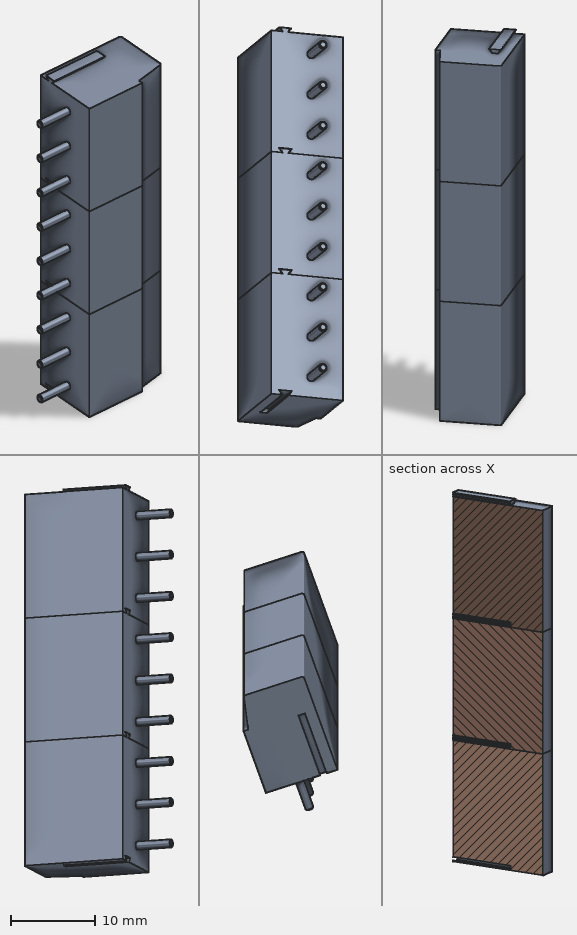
import cadquery as cq

BLOCK_COUNT = 3
PINS_PER_BLOCK = 3
OVERALL_HEIGHT = 45.5

TONGUE_HEIGHT = 0.5
TONGUE_LENGTH = 7.9
TONGUE_CENTER_X = 1.77
TONGUE_TIP_WIDTH = 1.5
TONGUE_NECK_WIDTH = 0.7
DOVETAIL_CLEARANCE = 0.07

BLOCK_HEIGHT = (OVERALL_HEIGHT - TONGUE_HEIGHT) / BLOCK_COUNT
WIDTH = 9.0
DEPTH = 12.45
LEDGE_Y = 8.25
LEDGE_WIDTH = 0.6
BACK_WIDTH = 7.5
BACK_EDGE_RADIUS = 0.27

PIN_PITCH = BLOCK_HEIGHT / PINS_PER_BLOCK
PIN_X = 5.0
PIN_DIAMETER = 1.0
PIN_LENGTH = 4.4
PIN_CHAMFER = 0.15


def make_housing():
    """Plain block with a ledge and a sloped flank on its +X side."""
    outline = [
        (0, 0),
        (WIDTH, 0),
        (WIDTH, LEDGE_Y),
        (WIDTH - LEDGE_WIDTH, LEDGE_Y),
        (BACK_WIDTH, DEPTH),
        (0, DEPTH),
    ]
    housing = cq.Workplane("XY").polyline(outline).close().extrude(BLOCK_HEIGHT)
    return housing.faces(">Y").edges("|Z").fillet(BACK_EDGE_RADIUS)


def make_dovetail(base_z, height, clearance):
    """Dovetail bar running from the pin face toward +Y, widened by the clearance on each side."""
    neck_half = TONGUE_NECK_WIDTH / 2 + clearance
    tip_half = TONGUE_TIP_WIDTH / 2 + clearance
    profile = [
        (TONGUE_CENTER_X - neck_half, base_z),
        (TONGUE_CENTER_X + neck_half, base_z),
        (TONGUE_CENTER_X + tip_half, base_z + height),
        (TONGUE_CENTER_X - tip_half, base_z + height),
    ]
    return cq.Workplane("XZ").polyline(profile).close().extrude(-(TONGUE_LENGTH + clearance))


def make_pin(center_z):
    """Round pin standing out of the pin face, chamfered at its free end."""
    pin = cq.Workplane("XZ").center(PIN_X, center_z).circle(PIN_DIAMETER / 2).extrude(PIN_LENGTH)
    return pin.faces("<Y").chamfer(PIN_CHAMFER)


def make_terminal_block():
    """One block: housing with pins, a tongue on top and the matching groove underneath."""
    block = make_housing()
    block = block.cut(make_dovetail(0, TONGUE_HEIGHT + DOVETAIL_CLEARANCE, DOVETAIL_CLEARANCE))
    block = block.union(make_dovetail(BLOCK_HEIGHT, TONGUE_HEIGHT, 0))
    for index in range(PINS_PER_BLOCK):
        block = block.union(make_pin((index + 0.5) * PIN_PITCH))
    return block


terminal_block = make_terminal_block()
terminal_blocks = []
for level in range(BLOCK_COUNT):
    terminal_blocks.append(terminal_block.translate((0, 0, level * BLOCK_HEIGHT)))

result = cq.Compound.makeCompound([block.solids().val() for block in terminal_blocks])